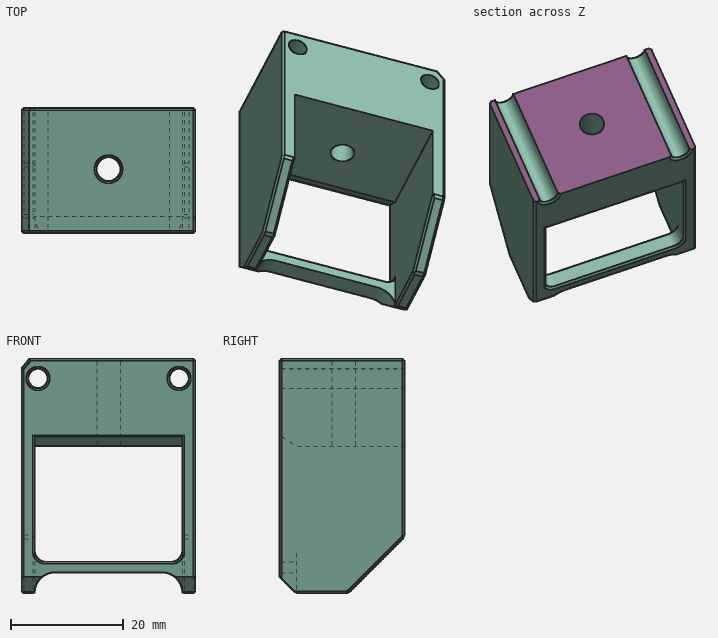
import cadquery as cq
import math

width = 30.8
depth = 22.19
height = 41.6

back_slope = 10.0
front_slope = 3.0
edge_chamfer = 0.4
chamfer_angle = 45

bevel_width = 1.4
bevel_height = 1.7

wall = 2.35
ceiling_height = 26.1

bar_thickness = 3.0
bar_bottom = 3.7
window_bottom = 5.65
window_top = 28.05
window_corner_radius = 1.9
scallop_radius = 3.5

screw_diameter = 3.4
screw_side_inset = 2.9
screw_top_inset = 3.5
top_hole_diameter = 4.2
top_hole_y = 11.35
hole_chamfer = 0.4

inner_width = width - 2 * wall
right_side = width / 2
left_side = -right_side
inner_right = inner_width / 2
overcut = 1.0


def make_block():
    """Side outline extruded across the width, with the top left bevel."""
    block = (
        cq.Workplane("YZ")
        .moveTo(front_slope, 0)
        .lineTo(depth - back_slope, 0)
        .lineTo(depth, back_slope)
        .lineTo(depth, height)
        .lineTo(0, height)
        .lineTo(0, front_slope)
        .close()
        .extrude(right_side, both=True)
    )
    bevel = (
        cq.Workplane("XZ")
        .moveTo(left_side, height)
        .lineTo(left_side + bevel_width, height)
        .lineTo(left_side, height - bevel_height)
        .close()
        .extrude(-depth)
    )
    return block.cut(bevel)


def edge_breaks(block):
    """Edges to break: front and back rims, lower back slope, bottom, and the top right edge."""
    front_rim = block.faces("<Y").edges("not <Z")
    back_rim = block.faces(">Y").edges()
    back_slope_sides = block.edges(cq.selectors.ParallelDirSelector(cq.Vector(0, 1, 1)))
    bottom_rim = block.faces("<Z").edges()
    top_right = block.edges("|Y and >Z and >X")
    return front_rim.add(back_rim).add(back_slope_sides).add(bottom_rim).add(top_right)


def make_cavity():
    """Room between the side walls, behind the crossbar, with the ceiling rising to the front window."""
    cavity_depth = depth + overcut
    return (
        cq.Workplane("YZ")
        .moveTo(bar_thickness, -overcut)
        .lineTo(cavity_depth, -overcut)
        .lineTo(cavity_depth, ceiling_height)
        .lineTo(bar_thickness, ceiling_height)
        .lineTo(0, window_top)
        .lineTo(0, window_bottom + window_corner_radius)
        .lineTo(bar_thickness, window_bottom + window_corner_radius)
        .close()
        .extrude(inner_right, both=True)
    )


def make_window_bottom():
    """Lower strip of the window, with its rounded corners."""
    strip_height = 2 * window_corner_radius
    return (
        cq.Workplane("XY")
        .box(inner_width, bar_thickness, strip_height, centered=(True, False, False))
        .edges("|Y and <Z")
        .fillet(window_corner_radius)
        .translate((0, 0, window_bottom))
    )


def make_scallop():
    """Clearance under the crossbar, rounded into both legs."""
    return (
        cq.Workplane("XY")
        .box(inner_width, bar_thickness, bar_bottom + overcut, centered=(True, False, False))
        .edges("|Y and >Z")
        .fillet(scallop_radius)
        .translate((0, 0, -overcut))
    )


def make_window_rim():
    """Tapered cutter that chamfers the sides and bottom of the window at the front face."""
    rim_bottom = window_bottom - edge_chamfer
    rim_top = window_top + overcut
    rim_width = inner_width + 2 * edge_chamfer
    outline = (
        cq.Sketch()
        .rect(rim_width, rim_top - rim_bottom)
        .vertices("<Y")
        .fillet(window_corner_radius + edge_chamfer)
    )
    rim = (
        cq.Workplane("XZ", origin=(0, 0, (rim_bottom + rim_top) / 2))
        .placeSketch(outline)
        .extrude(-edge_chamfer, taper=chamfer_angle)
    )
    below_ceiling = cq.Workplane("XY").box(width, depth, window_top, centered=(True, True, False))
    return rim.intersect(below_ceiling)


def make_hole(diameter, length):
    """Hole cutter running down -Z from the origin, with a chamfered mouth."""
    mouth = cq.Solid.makeCone(
        diameter / 2 + hole_chamfer, diameter / 2, hole_chamfer, dir=cq.Vector(0, 0, -1)
    )
    return cq.Workplane("XY").circle(diameter / 2).extrude(-length).union(cq.Workplane(mouth))


def make_screw_holes():
    """Two holes along Y through the solid upper block, with their mouths on the front face."""
    screw_x = right_side - screw_side_inset
    hole = make_hole(screw_diameter, depth + overcut).rotate((0, 0, 0), (1, 0, 0), 90)
    holes = cq.Workplane("XY")
    for x in (-screw_x, screw_x):
        holes = holes.union(hole.translate((x, 0, height - screw_top_inset)))
    return holes


def make_top_hole():
    """Central hole from the top face down into the cavity."""
    length = height - ceiling_height + overcut
    return make_hole(top_hole_diameter, length).translate((0, top_hole_y, height))


def make_leg_relief(length):
    """Trapezoid bar along +Y that chamfers the inner lower edges of both legs at once."""
    half_base = inner_right + edge_chamfer
    return (
        cq.Workplane("XZ")
        .polyline([(-half_base, 0), (half_base, 0), (inner_right, edge_chamfer), (-inner_right, edge_chamfer)])
        .close()
        .extrude(-length)
    )


def make_leg_reliefs():
    """Leg chamfer cutters along the bottom and up the lower back slope."""
    slope_start = depth - back_slope
    slope_length = back_slope / math.cos(math.radians(chamfer_angle))
    bottom_relief = make_leg_relief(slope_start - front_slope).translate((0, front_slope, 0))
    slope_relief = make_leg_relief(slope_length).rotate((0, 0, 0), (1, 0, 0), chamfer_angle)
    return bottom_relief.union(slope_relief.translate((0, slope_start, 0)))


block = make_block()
part = edge_breaks(block).chamfer(edge_chamfer)
part = part.cut(make_cavity())
part = part.cut(make_window_bottom())
part = part.cut(make_scallop())
part = part.cut(make_window_rim())
part = part.cut(make_screw_holes())
part = part.cut(make_top_hole())
result = part.cut(make_leg_reliefs())